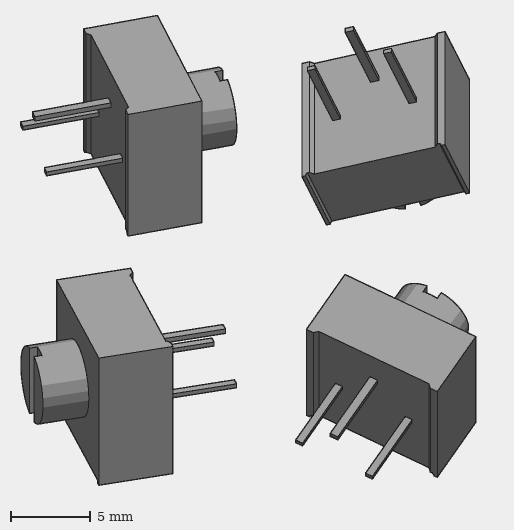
import cadquery as cq

body_side = 9.52
body_depth = 4.86

rail_width = 0.5
recess_depth = 0.25

foot_width = 0.25
groove_depth = 0.21
groove_radius = 0.25

knob_diameter = 5.0
knob_height = 3.0
knob_lift = 0.35
slot_width = 1.02
slot_depth = 0.5

pin_reach = 4.76
pin_pitch = 2.54
lower_row_z = -0.25
side_pin_size = (0.5, 0.3)
center_pin_size = (0.55, 0.34)

half_side = body_side / 2
recess_half_width = half_side - rail_width
groove_half_width = half_side - foot_width


def make_body():
    """Square block whose -Y face is at Y = 0, centred on X and Z."""
    return cq.Workplane("XY").box(body_side, body_depth, body_side, centered=(True, False, True))


def make_recess():
    """Trapezoidal channel running the full height of the pin face, with 45 degree flanks."""
    floor_half_width = recess_half_width - recess_depth
    return (
        cq.Workplane("XY")
        .workplane(offset=-half_side)
        .moveTo(-recess_half_width, 0)
        .lineTo(-floor_half_width, recess_depth)
        .lineTo(floor_half_width, recess_depth)
        .lineTo(recess_half_width, 0)
        .close()
        .extrude(body_side)
    )


def make_groove():
    """Underside channel through the full body depth, with concave side walls."""
    roof_run = (groove_radius**2 - groove_depth**2) ** 0.5
    roof_half_width = groove_half_width - groove_radius + roof_run
    roof_z = groove_depth - half_side
    return (
        cq.Workplane("XZ")
        .moveTo(-groove_half_width, -half_side)
        .radiusArc((-roof_half_width, roof_z), groove_radius)
        .lineTo(roof_half_width, roof_z)
        .radiusArc((groove_half_width, -half_side), groove_radius)
        .close()
        .extrude(-body_depth)
    )


def make_knob():
    """Round knob on the +Y face with a screwdriver slot along Z in its end."""
    knob = (
        cq.Workplane("XZ", origin=(0, body_depth, knob_lift))
        .circle(knob_diameter / 2)
        .extrude(-knob_height)
    )
    slot = cq.Workplane("XY", origin=(0, body_depth + knob_height - slot_depth, knob_lift)).box(
        slot_width, slot_depth, knob_diameter, centered=(True, False, True)
    )
    return knob.cut(slot)


def make_pin(x, z, size):
    """Rectangular pin from the recess floor out to the pin tip."""
    width, thickness = size
    return cq.Workplane("XY", origin=(x, -pin_reach, z)).box(
        width, pin_reach + recess_depth, thickness, centered=(True, False, True)
    )


result = make_body().cut(make_recess()).cut(make_groove()).union(make_knob())
for x in (-pin_pitch, pin_pitch):
    result = result.union(make_pin(x, lower_row_z, side_pin_size))
result = result.union(make_pin(0, lower_row_z + pin_pitch, center_pin_size))